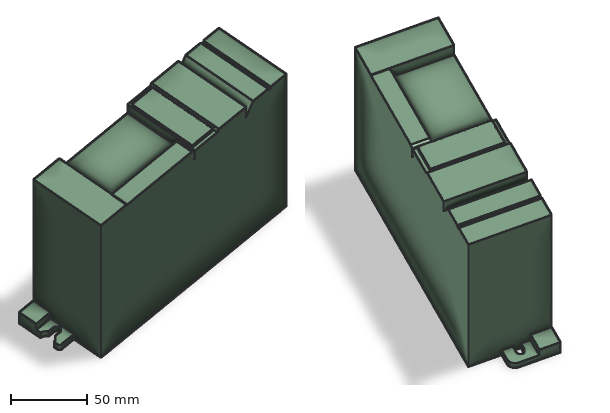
import cadquery as cq

width = 60.0
length = 208.0
height = 130.0

foot_length = 14.0
body_back = length - foot_length

block_width = 15.2
block_height = 10.8
tab_end = 36.0
tab_thickness = 5.0
tab_back_radius = 5.8
tab_front_radius = 1.9
slot_axis = 25.0
slot_width = 5.8
back_slot_margin = 5.8
front_slot_depth = 12.0
mouth_radius = 6.0
mouth_offset = 0.8

groove_start = 15.2
groove_width = 2.5
groove_depth = 1.2
notch_start = 32.2
notch_end = 39.3
recess_start = 65.5
recess_slope = 1.5
recess_depth = 1.9
pocket_start = 88.6
pocket_end = 155.0
pocket_depth = 10.2

pad_margin = 3.1
pad_start = 67.5
pad_end = 88.0

ledge_width = 13.7
ledge_gap = 0.6
ledge_drop = 0.6
bevel_length = 2.5
bevel_height = 1.0


def box(x0, x1, y0, y1, z0, z1):
    """Box between the given limits on each axis."""
    return cq.Workplane("XY").box(x1 - x0, y1 - y0, z1 - z0, centered=False).translate((x0, y0, z0))


def side_prism(points, x0, x1):
    """Prism along X from points of (distance from housing back, depth below top)."""
    outline = [(body_back - distance, height - depth) for distance, depth in points]
    return cq.Workplane("YZ").polyline(outline).close().extrude(x1 - x0).translate((x0, 0, 0))


def slot(y_bottom, y_top):
    """Tab slot with a square lower end and a round upper end."""
    radius = slot_width / 2
    straight = box(slot_axis - radius, slot_axis + radius, y_bottom, y_top - radius, 0, tab_thickness)
    round_end = cq.Workplane("XY").center(slot_axis, y_top - radius).circle(radius).extrude(tab_thickness)
    return straight.union(round_end)


def back_tab():
    tab = box(0, tab_end, body_back, length, 0, tab_thickness)
    tab = tab.edges("|Z and >X and >Y").fillet(tab_back_radius)
    return tab.cut(slot(body_back, length - back_slot_margin))


def front_tab():
    tab = box(0, tab_end, 0, foot_length, 0, tab_thickness)
    tab = tab.edges("|Z and >X and <Y").fillet(tab_front_radius)
    mouth = cq.Workplane("XY").center(slot_axis, -mouth_offset).circle(mouth_radius).extrude(tab_thickness)
    return tab.cut(slot(0, front_slot_depth)).cut(mouth)


def housing():
    """Housing block with the groove, notch, recess and pocket cut across its top."""
    groove_end = groove_start + groove_width
    profile = [
        (0, height), (0, 0),
        (groove_start, 0), (groove_start, groove_depth), (groove_end, groove_depth), (groove_end, 0),
        (notch_start, 0), (notch_end, pocket_depth), (notch_end, 0),
        (recess_start, 0), (recess_start + recess_slope, recess_depth),
        (pocket_start, recess_depth), (pocket_start, pocket_depth),
        (pocket_end, pocket_depth), (pocket_end, 0),
        (body_back - foot_length, 0), (body_back - foot_length, height),
    ]
    return side_prism(profile, 0, width)


def pad():
    return box(pad_margin, width - pad_margin, body_back - pad_end, body_back - pad_start,
               height - recess_depth, height)


def ledge():
    start = pocket_start + ledge_gap
    profile = [
        (start, pocket_depth), (start, ledge_drop + bevel_height),
        (start + bevel_length, ledge_drop),
        (pocket_end, ledge_drop), (pocket_end, pocket_depth),
    ]
    return side_prism(profile, width - ledge_width, width)


foot_block = box(0, block_width, 0, length, 0, block_height)
result = housing().union(pad()).union(ledge()).union(foot_block).union(back_tab()).union(front_tab())